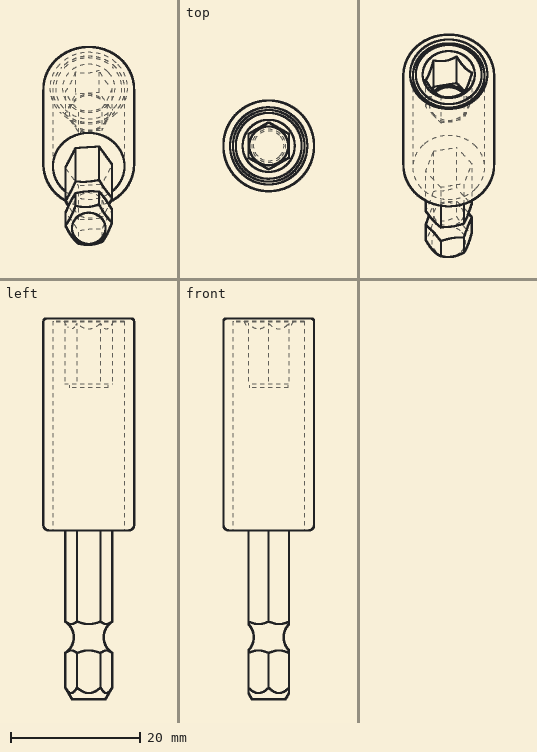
import cadquery as cq
import math

total_length = 59.0
sleeve_bottom = 26.15
sleeve_diameter = 14.1
sleeve_radius = sleeve_diameter / 2
holder_setback = 0.1
holder_top = total_length - holder_setback
bore_radius = 5.55
top_rounding = 0.55
bottom_rounding = 0.9
mouth_chamfer = 0.44

hex_sides = 6
hex_across_flats = 6.3
hex_corner_radius = hex_across_flats / (2 * math.cos(math.pi / hex_sides))

tip_radius = 2.6
tip_half_angle = 30.0
groove_height = 9.6
neck_diameter = 4.65
neck_radius = neck_diameter / 2
groove_arc_radius = 2.9

socket_depth = 10.05
lead_in_diameter = 8.1
lead_in_radius = lead_in_diameter / 2
lead_in_angle = 30.0
recess_radius = 3.0
recess_depth = 0.6


def hex_prism(bottom, height):
    """Hexagonal prism with flats facing +X and -X."""
    half_pitch = 180 / hex_sides
    return (
        cq.Workplane("XY", origin=(0, 0, bottom))
        .polygon(hex_sides, 2 * hex_corner_radius)
        .extrude(height)
        .rotate((0, 0, 0), (0, 0, 1), half_pitch)
    )


def revolve_about_z(profile):
    """Full turn of a closed XZ profile about the Z axis."""
    return profile.close().revolve(360, (0, 0, 0), (0, 1, 0))


def make_sleeve():
    """Outer tube with rounded ends and a chamfered upper bore edge."""
    length = total_length - sleeve_bottom
    tube = cq.Workplane("XY", origin=(0, 0, sleeve_bottom)).circle(sleeve_radius).extrude(length)
    tube = tube.faces(">Z").edges().fillet(top_rounding)
    tube = tube.faces("<Z").edges().fillet(bottom_rounding)
    bore = cq.Workplane("XY", origin=(0, 0, sleeve_bottom)).circle(bore_radius).extrude(length)
    tube = tube.cut(bore)
    return tube.faces(">Z").edges(cq.selectors.RadiusNthSelector(0)).chamfer(mouth_chamfer)


def make_shank():
    """Hexagonal drive shank with a conical tip and a round retaining groove."""
    shank = hex_prism(0, sleeve_bottom)

    tip_slope = math.tan(math.radians(tip_half_angle))
    cone_top_radius = tip_radius + sleeve_bottom * tip_slope
    tip_envelope = revolve_about_z(
        cq.Workplane("XZ")
        .lineTo(tip_radius, 0)
        .lineTo(cone_top_radius, sleeve_bottom)
        .lineTo(0, sleeve_bottom)
    )

    arc_center_radius = neck_radius + groove_arc_radius
    groove = (
        cq.Workplane("XZ")
        .center(arc_center_radius, groove_height)
        .circle(groove_arc_radius)
        .revolve(360, (-arc_center_radius, 0, 0), (-arc_center_radius, 1, 0))
    )
    return shank.intersect(tip_envelope).cut(groove)


def make_socket_cavity():
    """Hexagonal socket with a conical lead-in and a round recess at its floor."""
    socket_floor = holder_top - socket_depth
    lead_in_depth = lead_in_radius / math.tan(math.radians(lead_in_angle))
    lead_in = revolve_about_z(
        cq.Workplane("XZ")
        .moveTo(0, holder_top - lead_in_depth)
        .lineTo(lead_in_radius, holder_top)
        .lineTo(0, holder_top)
    )
    recess = (
        cq.Workplane("XY", origin=(0, 0, socket_floor - recess_depth))
        .circle(recess_radius)
        .extrude(recess_depth)
    )
    return hex_prism(socket_floor, socket_depth).union(lead_in).union(recess)


def make_holder():
    """Socket head filling the sleeve bore, in one piece with the shank."""
    head = (
        cq.Workplane("XY", origin=(0, 0, sleeve_bottom))
        .circle(bore_radius)
        .extrude(holder_top - sleeve_bottom)
        .faces(">Z")
        .edges()
        .chamfer(mouth_chamfer)
    )
    return head.union(make_shank()).cut(make_socket_cavity())


sleeve = make_sleeve()
holder = make_holder()
result = cq.Compound.makeCompound([sleeve.val(), holder.val()])